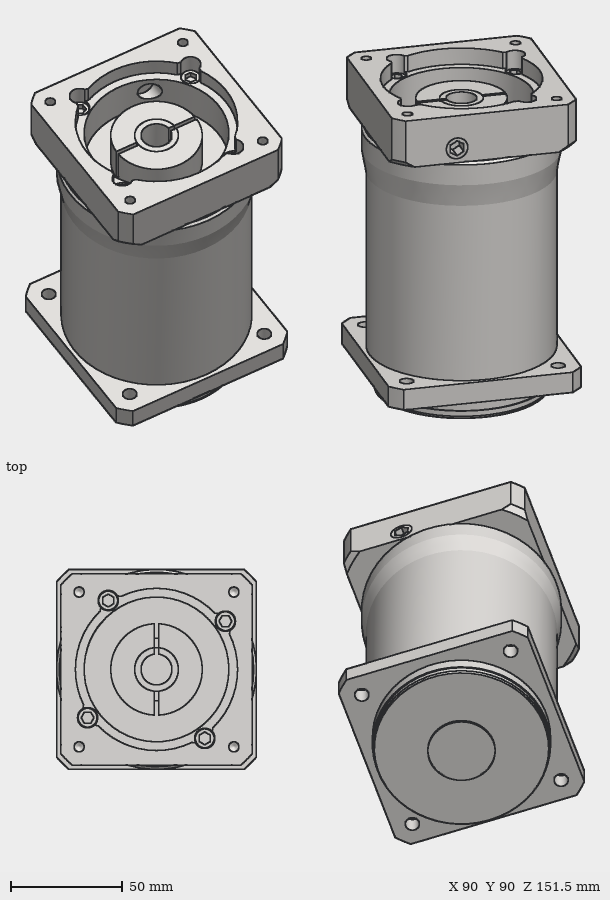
import cadquery as cq
import math

TOTAL_HEIGHT = 151.5
PLATE_HEIGHT = 22.7
HOUSING_TOP = TOTAL_HEIGHT - PLATE_HEIGHT

BODY_RADIUS = 43.0
COLLAR_RADIUS = 45.0
COLLAR_CHAMFER = 1.2
COLLAR_BOTTOM = 117.7
CONE_BOTTOM = 107.0
FLANGE_TOP = 22.1
FLANGE_BOTTOM = 12.3
FLANGE_WIDTH = 2 * COLLAR_RADIUS
FLANGE_CORNER_RADIUS = 59.8
FLANGE_HOLE_RADIUS = 3.2
FLANGE_HOLE_CIRCLE_RADIUS = 50.0
PILOT_RADIUS = 40.1
PILOT_STEP_TOP = 6.2
PILOT_STEP_RADIUS = 39.7
PILOT_BOTTOM = 2.3
PILOT_CHAMFER_WIDTH = 0.5
PILOT_CHAMFER_HEIGHT = 1.2
OUTPUT_LIP_RADIUS = 15.2
OUTPUT_LIP_HEIGHT = 0.9
OUTPUT_NECK_RADIUS = 14.5

PLATE_WIDTH = 2 * BODY_RADIUS
PLATE_CORNER_RADIUS = 57.4
PLATE_CORNER_CHAMFER = 2.7
BORE_RADIUS = 32.5
BORE_DEPTH = 27.0
SHELF_RADIUS = 36.5
SHELF_DEPTH = 7.9
SPIGOT_RADIUS = 37.9
MOUNT_HOLE_OFFSET = 34.8
MOUNT_HOLE_RADIUS = 2.3
MOUNT_HOLE_DEPTH = 15.2
DRILL_POINT_ANGLE = 118.0

SCREW_CIRCLE_RADIUS = 37.9
SCREW_FIRST_ANGLE = 35.0
SCREW_COUNT = 4
SCREW_POCKET_RADIUS = 4.5
SCREW_POCKET_DEPTH = 12.1
POCKET_MOUTH_HALF_WIDTH = 5.8
SCREW_HEAD_RADIUS = 4.2
SCREW_HEAD_DEPTH = 8.8
SCREW_SOCKET_WIDTH = 5.0
SCREW_SOCKET_DEPTH = 2.5

PLUG_RADIUS = 5.0
PLUG_LENGTH = 9.1
PLUG_Y = 14.0
PLUG_Z = 135.7
PLUG_SOCKET_WIDTH = 6.2
PLUG_SOCKET_DEPTH = 7.5

FLOOR_Z = TOTAL_HEIGHT - BORE_DEPTH
HUB_TOP = TOTAL_HEIGHT - 9.4
HUB_HEIGHT = HUB_TOP - FLOOR_Z
HUB_RADIUS = 20.6
SLIT_WIDTH = 1.8
SLIT_STEP_RADIUS = 14.1
INNER_SLIT_DEPTH = HUB_HEIGHT / 2
BUSHING_RADIUS = 9.8
BUSHING_BORE_RADIUS = 7.0


def cylinder(radius, bottom, top):
    """Upright cylinder on the Z axis between two heights."""
    return cq.Workplane("XY").workplane(offset=bottom).circle(radius).extrude(top - bottom)


def square_block(width, bottom, top):
    """Square block on the Z axis between two heights."""
    return cq.Workplane("XY").workplane(offset=bottom).rect(width, width).extrude(top - bottom)


def corner_points(offset):
    """The four points of a square pattern, each offset from both axes."""
    return [(x, y) for x in (-offset, offset) for y in (-offset, offset)]


def hexagon_diameter(width):
    """Corner-to-corner size of a hexagon given its width across flats."""
    return width / math.cos(math.radians(30))


def make_housing():
    """Turned gearbox body with a square output flange and a recess for the plate's spigot."""
    profile = [
        (0, 0),
        (OUTPUT_LIP_RADIUS, 0),
        (OUTPUT_LIP_RADIUS, OUTPUT_LIP_HEIGHT),
        (OUTPUT_NECK_RADIUS, OUTPUT_LIP_HEIGHT),
        (OUTPUT_NECK_RADIUS, PILOT_BOTTOM),
        (PILOT_STEP_RADIUS - PILOT_CHAMFER_WIDTH, PILOT_BOTTOM),
        (PILOT_STEP_RADIUS, PILOT_BOTTOM + PILOT_CHAMFER_HEIGHT),
        (PILOT_STEP_RADIUS, PILOT_STEP_TOP),
        (PILOT_RADIUS, PILOT_STEP_TOP),
        (PILOT_RADIUS, FLANGE_BOTTOM),
        (BODY_RADIUS, FLANGE_BOTTOM),
        (BODY_RADIUS, CONE_BOTTOM),
        (COLLAR_RADIUS, COLLAR_BOTTOM),
        (COLLAR_RADIUS, HOUSING_TOP - COLLAR_CHAMFER),
        (COLLAR_RADIUS - COLLAR_CHAMFER, HOUSING_TOP),
        (0, HOUSING_TOP),
    ]
    turned_body = cq.Workplane("XZ").polyline(profile).close().revolve(360, (0, 0, 0), (0, 1, 0))

    flange = square_block(FLANGE_WIDTH, FLANGE_BOTTOM, FLANGE_TOP).intersect(
        cylinder(FLANGE_CORNER_RADIUS, FLANGE_BOTTOM, FLANGE_TOP)
    )
    flange_holes = (
        cq.Workplane("XY")
        .workplane(offset=FLANGE_BOTTOM)
        .pushPoints(corner_points(FLANGE_HOLE_CIRCLE_RADIUS / math.sqrt(2)))
        .circle(FLANGE_HOLE_RADIUS)
        .extrude(FLANGE_TOP - FLANGE_BOTTOM)
    )
    recess = cylinder(SPIGOT_RADIUS, FLOOR_Z, HOUSING_TOP)
    return turned_body.union(flange.cut(flange_holes)).cut(recess)


def make_mount_hole():
    """Blind drilled hole with a conical end, opening at the plate's top face."""
    point_height = MOUNT_HOLE_RADIUS / math.tan(math.radians(DRILL_POINT_ANGLE / 2))
    profile = [
        (0, TOTAL_HEIGHT),
        (MOUNT_HOLE_RADIUS, TOTAL_HEIGHT),
        (MOUNT_HOLE_RADIUS, TOTAL_HEIGHT - MOUNT_HOLE_DEPTH),
        (0, TOTAL_HEIGHT - MOUNT_HOLE_DEPTH - point_height),
    ]
    return cq.Workplane("XZ").polyline(profile).close().revolve(360, (0, 0, 0), (0, 1, 0))


def make_screw_recess():
    """Space cut around and into one screw head that lies on the +X axis."""
    head_top = TOTAL_HEIGHT - SCREW_HEAD_DEPTH
    pocket_floor = TOTAL_HEIGHT - SCREW_POCKET_DEPTH
    pocket = cylinder(SCREW_POCKET_RADIUS, pocket_floor, TOTAL_HEIGHT)
    head = cylinder(SCREW_HEAD_RADIUS, pocket_floor, head_top)
    socket = (
        cq.Workplane("XY")
        .workplane(offset=head_top - SCREW_SOCKET_DEPTH)
        .polygon(6, hexagon_diameter(SCREW_SOCKET_WIDTH))
        .extrude(SCREW_SOCKET_DEPTH)
        .rotate((0, 0, 0), (0, 0, 1), -SCREW_FIRST_ANGLE)
    )
    return pocket.cut(head).union(socket).translate((SCREW_CIRCLE_RADIUS, 0, 0))


def make_pocket_mouth():
    """Flared opening, at 45 degrees, from the shelf bore into the screw pocket on the +X axis."""
    mouth_x = math.sqrt(SHELF_RADIUS**2 - POCKET_MOUTH_HALF_WIDTH**2)
    throat_x = mouth_x + POCKET_MOUTH_HALF_WIDTH - SCREW_POCKET_RADIUS
    outline = [
        (mouth_x, -POCKET_MOUTH_HALF_WIDTH),
        (throat_x, -SCREW_POCKET_RADIUS),
        (throat_x, SCREW_POCKET_RADIUS),
        (mouth_x, POCKET_MOUTH_HALF_WIDTH),
    ]
    shelf_z = TOTAL_HEIGHT - SHELF_DEPTH
    return cq.Workplane("XY").workplane(offset=shelf_z).polyline(outline).close().extrude(SHELF_DEPTH)


def plug_cylinder(length):
    """Cylinder running inward along +X from the plate's -X face."""
    return (
        cq.Workplane("YZ", origin=(-PLATE_WIDTH / 2, PLUG_Y, PLUG_Z)).circle(PLUG_RADIUS).extrude(length)
    )


def make_adapter_plate():
    """Square motor plate with turned corners, a spigot, a stepped bore and sunk screw heads."""
    corner_turning = cylinder(PLATE_CORNER_RADIUS, HOUSING_TOP, TOTAL_HEIGHT)
    corner_turning = corner_turning.faces("<Z").chamfer(PLATE_CORNER_CHAMFER)
    plate = square_block(PLATE_WIDTH, HOUSING_TOP, TOTAL_HEIGHT).intersect(corner_turning)

    plate = plate.union(cylinder(SPIGOT_RADIUS, FLOOR_Z, HOUSING_TOP))

    plate = plate.cut(cylinder(BORE_RADIUS, FLOOR_Z, TOTAL_HEIGHT))
    plate = plate.cut(cylinder(SHELF_RADIUS, TOTAL_HEIGHT - SHELF_DEPTH, TOTAL_HEIGHT))

    mount_hole = make_mount_hole()
    for x, y in corner_points(MOUNT_HOLE_OFFSET):
        plate = plate.cut(mount_hole.translate((x, y, 0)))

    screw_recess = make_screw_recess()
    pocket_mouth = make_pocket_mouth()
    for index in range(SCREW_COUNT):
        angle = SCREW_FIRST_ANGLE + index * 360 / SCREW_COUNT
        plate = plate.cut(screw_recess.rotate((0, 0, 0), (0, 0, 1), angle))
        plate = plate.cut(pocket_mouth.rotate((0, 0, 0), (0, 0, 1), angle))

    access_hole = plug_cylinder(PLATE_WIDTH / 2 - HUB_RADIUS)
    return plate.cut(access_hole)


def make_plug():
    """Flush plug with a hexagon socket, one corner of the hexagon pointing up."""
    socket = (
        cq.Workplane("YZ", origin=(-PLATE_WIDTH / 2, PLUG_Y, PLUG_Z))
        .transformed(rotate=(0, 0, 90))
        .polygon(6, hexagon_diameter(PLUG_SOCKET_WIDTH))
        .extrude(PLUG_SOCKET_DEPTH)
    )
    return plug_cylinder(PLUG_LENGTH).cut(socket)


def make_clamping_hub():
    """Hub slit across its full width, the slit being shallower near the bore."""
    hub = cylinder(HUB_RADIUS, FLOOR_Z, HUB_TOP)
    slit = (
        cq.Workplane("XY").workplane(offset=FLOOR_Z).rect(SLIT_WIDTH, 2 * HUB_RADIUS).extrude(HUB_HEIGHT)
    )
    slit_step = cylinder(SLIT_STEP_RADIUS, FLOOR_Z, HUB_TOP - INNER_SLIT_DEPTH)
    bore = cylinder(BUSHING_RADIUS, FLOOR_Z, HUB_TOP)
    return hub.cut(slit.cut(slit_step)).cut(bore)


def make_bushing():
    """Sleeve in the hub bore, split along its +Y side."""
    sleeve = cylinder(BUSHING_RADIUS, FLOOR_Z, HUB_TOP)
    bore = cylinder(BUSHING_BORE_RADIUS, FLOOR_Z, HUB_TOP)
    split = (
        cq.Workplane("XY")
        .workplane(offset=FLOOR_Z)
        .center(0, BUSHING_RADIUS / 2)
        .rect(SLIT_WIDTH, BUSHING_RADIUS)
        .extrude(HUB_HEIGHT)
    )
    return sleeve.cut(bore).cut(split)


housing = make_housing()
adapter_plate = make_adapter_plate()
plug = make_plug()
clamping_hub = make_clamping_hub()
bushing = make_bushing()

result = cq.Compound.makeCompound(
    [housing.val(), adapter_plate.val(), plug.val(), clamping_hub.val(), bushing.val()]
)